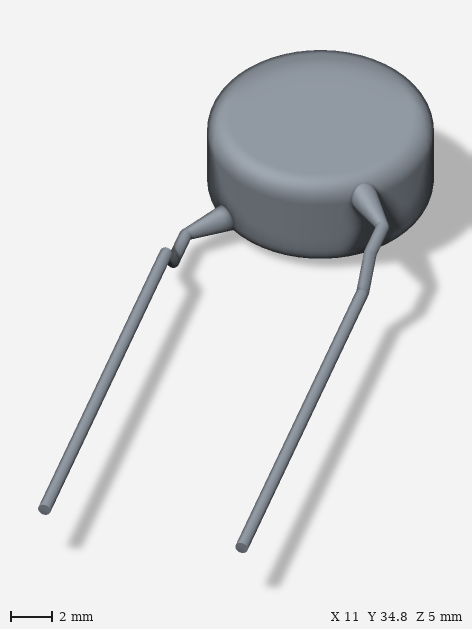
import math

import cadquery as cq


disc_diameter = 11.0
disc_thickness = 5.0
disc_edge_radius = 1.0
disc_radius = disc_diameter / 2

overall_length = 34.8
lead_pitch = 10.0
wire_diameter = 0.63
wire_radius = wire_diameter / 2
lead_x = lead_pitch / 2
exit_offset = 1.5
tail_offset = 0.05
crimp_start_y = -8.05
crimp_end_y = -9.3
tail_end_y = disc_radius - overall_length

bend_end_y = -6.1
bend_radius = 0.35
taper_start = 4.45
taper_start_radius = 0.85
left_sleeve_length = 0.0
right_sleeve_length = 0.3

bend_centre_x = -lead_x + bend_radius
bend_centre_distance = math.hypot(bend_centre_x, bend_end_y)
bend_centre_bearing = math.atan2(-bend_end_y, -bend_centre_x)
taper_angle = math.acos(-bend_radius / bend_centre_distance) - bend_centre_bearing
taper_end = math.sqrt(bend_centre_distance**2 - bend_radius**2)


def make_disc():
    """Round body with both rims filleted."""
    return (
        cq.Workplane("XY", origin=(0, 0, -disc_thickness / 2))
        .circle(disc_radius)
        .extrude(disc_thickness)
        .faces("|Z")
        .edges()
        .fillet(disc_edge_radius)
    )


def wire_section(y):
    """Circle of the wire, in a plane across the lead at this Y, with the plane facing -Y."""
    return cq.Workplane("XZ", origin=(-lead_x, y, -exit_offset)).circle(wire_radius)


def make_coating(disc, sleeve_length):
    """Taper from the disc wall to the wire, an elbow that turns along -Y, and a sleeve if it has a length."""
    outward = cq.Vector(-math.sin(taper_angle), -math.cos(taper_angle), 0)
    across = outward.cross(cq.Vector(0, 0, 1))
    taper_plane = cq.Plane(origin=(0, 0, -exit_offset), xDir=outward, normal=across)
    taper = (
        cq.Workplane(taper_plane)
        .polyline(
            [
                (taper_start, 0),
                (taper_start, taper_start_radius),
                (taper_end, wire_radius),
                (taper_end, 0),
            ]
        )
        .close()
        .revolve(360, (0, 0), (1, 0))
    )
    elbow = wire_section(bend_end_y).revolve(
        math.degrees(taper_angle), (bend_radius, 0), (bend_radius, -1)
    )
    coating = taper.cut(disc).union(elbow)
    if sleeve_length > 0:
        coating = coating.union(wire_section(bend_end_y).extrude(sleeve_length))
    return coating


def make_lead(sleeve_length):
    """Round wire, crimped from the exit height to the tail height, with mitred corners."""
    start_y = bend_end_y - sleeve_length
    path = cq.Workplane("YZ", origin=(-lead_x, 0, 0)).polyline(
        [
            (start_y, -exit_offset),
            (crimp_start_y, -exit_offset),
            (crimp_end_y, -tail_offset),
            (tail_end_y, -tail_offset),
        ]
    )
    return wire_section(start_y).sweep(path, transition="right")


disc = make_disc()

bodies = [disc.val()]
for half_turn, sleeve_length in ((0, left_sleeve_length), (180, right_sleeve_length)):
    for body in (make_coating(disc, sleeve_length), make_lead(sleeve_length)):
        bodies.append(body.rotate((0, 0, 0), (0, 1, 0), half_turn).val())

result = cq.Compound.makeCompound(bodies)